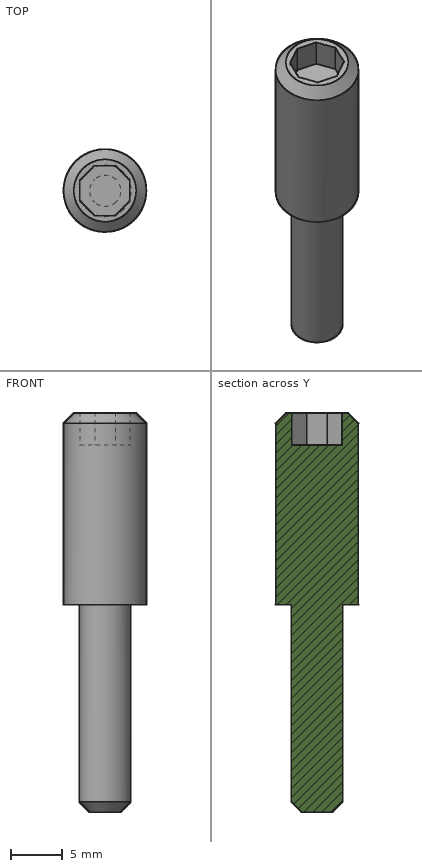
import cadquery as cq
import math

total_length = 38.5
head_diameter = 8.0
head_length = 18.5
shank_diameter = 5.0
chamfer = 1.0

socket_sides = 8
socket_across_flats = 4.8
socket_depth = 3.08

shank_length = total_length - head_length


def make_shank():
    """Slim pin with a chamfered tip, standing on the XY plane."""
    shank = cq.Workplane("XY").circle(shank_diameter / 2).extrude(shank_length)
    return shank.faces("<Z").chamfer(chamfer)


def make_head():
    """Thick cylinder above the shank, chamfered at its top edge."""
    head = cq.Workplane("XY").workplane(offset=shank_length).circle(head_diameter / 2).extrude(head_length)
    return head.faces(">Z").chamfer(chamfer)


def make_socket():
    """Octagonal prism with flats facing X and Y, reaching down from the top face."""
    across_corners = socket_across_flats / math.cos(math.pi / socket_sides)
    half_side_angle = 180 / socket_sides
    return (
        cq.Workplane("XY")
        .polygon(socket_sides, across_corners)
        .extrude(socket_depth)
        .rotate((0, 0, 0), (0, 0, 1), half_side_angle)
        .translate((0, 0, total_length - socket_depth))
    )


result = make_shank().union(make_head()).cut(make_socket())